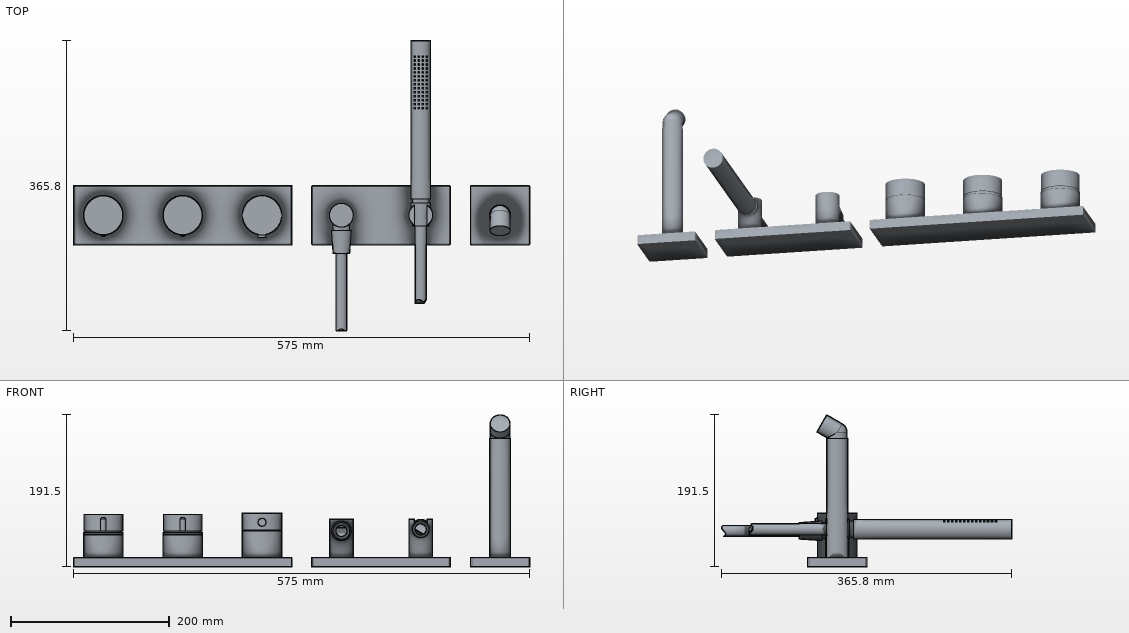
import cadquery as cq
import math


pitch = 100.0
plate_width = 75.0
plate_gap = 25.0
plate_thickness = 12.0
valve_plate_length = 2 * pitch + plate_width
shower_plate_length = pitch + plate_width
valve_plate_edge_radius = 1.5
plate_corner_radius = 2.0
plate_edge_radius = 1.0

valve_plate_x = 0.0
shower_plate_x = valve_plate_x + valve_plate_length + plate_gap
spout_plate_x = shower_plate_x + shower_plate_length + plate_gap
lever_valve_xs = [valve_plate_x + plate_width / 2 + i * pitch for i in range(2)]
thermostat_x = lever_valve_xs[-1] + pitch
outlet_x = shower_plate_x + plate_width / 2
rest_x = outlet_x + pitch
spout_x = spout_plate_x + plate_width / 2

valve_diameter = 50.0
shallow_groove_diameter = 48.4
groove_height = 1.5
lever_groove_z = 40.0
lever_collar_height = 2.0
knob_neck_diameter = 46.0
lever_neck_z = lever_groove_z + groove_height + lever_collar_height
knob_bottom_z = lever_neck_z + groove_height
knob_top_z = 66.0
knob_diameter = 49.0
lever_diameter = 7.0
lever_reach = 27.0
lever_top_z = 62.0
lever_chamfer = 1.5

thermostat_groove_z = 45.0
thermostat_top_z = 67.5
button_diameter = 10.0
button_reach = 28.0
button_z = 56.0

post_diameter = 30.0
post_top_z = 60.0
outlet_z = 45.3
rest_z = 47.3
rest_slot_width = 16.0

connector_back_diameter = 25.0
connector_front_diameter = 21.0
connector_length = 29.0
connector_neck_diameter = 21.0
outlet_connector_y = -19.0
rest_connector_y = 15.5

hose_diameter = 14.0
break_depth = 2.5
outlet_hose_end_y = -145.77
rest_hose_end_y = -111.0
rest_break_roll = 210.0

shower_diameter = 25.0
shower_back_y = 220.0
shower_front_y = rest_connector_y + 5.0
nozzle_diameter = 2.0
nozzle_depth = 1.0
nozzle_pitch = 5.0
nozzle_columns = 4
nozzle_rows = 14
nozzle_end_margin = 20.0

column_diameter = 26.5
column_top_z = 161.5
spout_diameter = 25.0
spout_rise = 30.0
spout_length = 22.5
spout_top_z = 191.47
spout_rise_angle = math.radians(spout_rise)
elbow_z = (
    spout_top_z
    - spout_length * math.sin(spout_rise_angle)
    - spout_diameter / 2 * math.cos(spout_rise_angle)
)


def plate(x, length):
    """Flat plate standing on Z = 0 with its left side at x."""
    return cq.Workplane("XY", origin=(x, 0, 0)).box(
        length, plate_width, plate_thickness, centered=(False, True, False)
    )


def soft_plate(x, length):
    """Plate with rounded corners and a softly rounded top edge."""
    rounded = plate(x, length).edges("|Z").fillet(plate_corner_radius)
    return rounded.faces(">Z").edges().fillet(plate_edge_radius)


def upright(x, diameter, bottom_z, top_z):
    """Vertical cylinder on the centre line."""
    return cq.Workplane("XY", origin=(x, 0, bottom_z)).circle(diameter / 2).extrude(top_z - bottom_z)


def lengthwise(x, z, diameter, back_y, front_y):
    """Cylinder along Y from back_y forward to front_y."""
    return cq.Workplane("XZ", origin=(x, back_y, z)).circle(diameter / 2).extrude(back_y - front_y)


def connector(x, z, back_y):
    """Cone that narrows towards the hose."""
    return (
        cq.Workplane("XZ", origin=(x, back_y, z))
        .circle(connector_back_diameter / 2)
        .workplane(offset=connector_length)
        .circle(connector_front_diameter / 2)
        .loft(ruled=True)
    )


def hose(x, z, back_y, end_y, roll):
    """Hose whose front end is cut along an S curve, rolled about the hose axis."""
    radius = hose_diameter / 2
    middle_y = end_y + break_depth
    break_points = [
        (middle_y + break_depth, -radius / 2),
        (middle_y, 0),
        (end_y, radius / 2),
        (middle_y, radius),
    ]
    profile = (
        cq.Workplane("YZ", origin=(-radius, 0, 0))
        .moveTo(back_y, -radius)
        .lineTo(middle_y, -radius)
        .spline(break_points, includeCurrent=True)
        .lineTo(back_y, radius)
        .close()
        .extrude(hose_diameter)
    )
    cut_shape = profile.rotate((0, 0, 0), (0, 1, 0), roll).translate((x, 0, z))
    return lengthwise(x, z, hose_diameter, back_y, end_y).intersect(cut_shape)


def lever_valve_body(x):
    """Grooved valve body with the neck that carries a lever knob."""
    return (
        upright(x, valve_diameter, plate_thickness, lever_groove_z)
        .union(upright(x, shallow_groove_diameter, lever_groove_z, lever_groove_z + groove_height))
        .union(upright(x, valve_diameter, lever_groove_z + groove_height, lever_neck_z))
        .union(upright(x, knob_neck_diameter, lever_neck_z, knob_bottom_z))
    )


def thermostat_valve():
    """Thermostat valve with a shallow groove under its handle and a round button in front."""
    groove_top_z = thermostat_groove_z + groove_height
    return (
        upright(thermostat_x, valve_diameter, plate_thickness, thermostat_groove_z)
        .union(upright(thermostat_x, shallow_groove_diameter, thermostat_groove_z, groove_top_z))
        .union(upright(thermostat_x, valve_diameter, groove_top_z, thermostat_top_z))
        .union(lengthwise(thermostat_x, button_z, button_diameter, 0, -button_reach))
    )


def valve_base():
    """Valve plate with two lever valve bodies and the thermostat valve."""
    base = plate(valve_plate_x, valve_plate_length).faces(">Z").edges().fillet(valve_plate_edge_radius)
    for x in lever_valve_xs:
        base = base.union(lever_valve_body(x))
    return base.union(thermostat_valve())


def lever_knob(x):
    """Round knob with an upright lever pin let into its front."""
    lever_y = -(lever_reach - lever_diameter / 2)
    lever = (
        upright(x, lever_diameter, knob_bottom_z, lever_top_z)
        .faces(">Z")
        .chamfer(lever_chamfer)
        .translate((0, lever_y, 0))
    )
    return upright(x, knob_diameter, knob_bottom_z, knob_top_z).union(lever)


def hose_outlet():
    """Post with a neck, conical connector and hose leading forward."""
    connector_front_y = outlet_connector_y - connector_length
    return (
        upright(outlet_x, post_diameter, plate_thickness, post_top_z)
        .union(lengthwise(outlet_x, outlet_z, connector_neck_diameter, 0, outlet_connector_y))
        .union(connector(outlet_x, outlet_z, outlet_connector_y))
        .union(hose(outlet_x, outlet_z, connector_front_y, outlet_hose_end_y, 0))
    )


def shower_rest():
    """Post with a conical seat for the shower connector, open at the top through a slot."""
    slot = cq.Workplane("XY", origin=(rest_x, 0, rest_z)).box(
        rest_slot_width, post_diameter, post_top_z - rest_z, centered=(True, True, False)
    )
    seat = connector(rest_x, rest_z, rest_connector_y)
    seat_front_y = rest_connector_y - connector_length
    seat_mouth = lengthwise(rest_x, rest_z, connector_front_diameter, seat_front_y, -post_diameter / 2)
    post = upright(rest_x, post_diameter, plate_thickness, post_top_z)
    return post.cut(slot).cut(seat).cut(seat_mouth)


def shower_base():
    """Shower plate with the hose outlet and the shower rest."""
    base = soft_plate(shower_plate_x, shower_plate_length)
    return base.union(hose_outlet()).union(shower_rest())


def nozzle_holes():
    """Grid of shallow holes in the top of the hand shower."""
    radius = shower_diameter / 2
    first_row_y = shower_back_y - nozzle_end_margin
    holes = []
    for column in range(nozzle_columns):
        side = (column - (nozzle_columns - 1) / 2) * nozzle_pitch
        floor_z = rest_z + math.sqrt(radius**2 - side**2) - nozzle_depth
        rows = [(rest_x + side, first_row_y - row * nozzle_pitch) for row in range(nozzle_rows)]
        hole_row = (
            cq.Workplane("XY", origin=(0, 0, floor_z))
            .pushPoints(rows)
            .circle(nozzle_diameter / 2)
            .extrude(radius)
        )
        holes.extend(hole_row.vals())
    return cq.Workplane("XY").newObject([cq.Compound.makeCompound(holes)])


def hand_shower():
    """Hand shower lying in the rest, with its connector and hose."""
    connector_front_y = rest_connector_y - connector_length
    return (
        lengthwise(rest_x, rest_z, shower_diameter, shower_back_y, shower_front_y)
        .cut(nozzle_holes())
        .union(lengthwise(rest_x, rest_z, connector_neck_diameter, shower_front_y, rest_connector_y))
        .union(connector(rest_x, rest_z, rest_connector_y))
        .union(hose(rest_x, rest_z, connector_front_y, rest_hose_end_y, rest_break_roll))
    )


def spout():
    """Plate with a column, ball-shaped elbow and a short outlet that rises forward."""
    elbow_center = (spout_x, 0, elbow_z)
    base = soft_plate(spout_plate_x, plate_width)
    column = upright(spout_x, column_diameter, plate_thickness, column_top_z)
    neck = upright(spout_x, spout_diameter, column_top_z, elbow_z)
    elbow = cq.Workplane("XY", origin=elbow_center).sphere(spout_diameter / 2)
    outlet = lengthwise(spout_x, elbow_z, spout_diameter, 0, -spout_length).rotate(
        elbow_center, (spout_x + 1, 0, elbow_z), -spout_rise
    )
    return base.union(column).union(neck).union(elbow).union(outlet)


lever_knobs = [lever_knob(x) for x in lever_valve_xs]

result = cq.Compound.makeCompound(
    [
        valve_base().val(),
        *[knob.val() for knob in lever_knobs],
        shower_base().val(),
        hand_shower().val(),
        spout().val(),
    ]
)